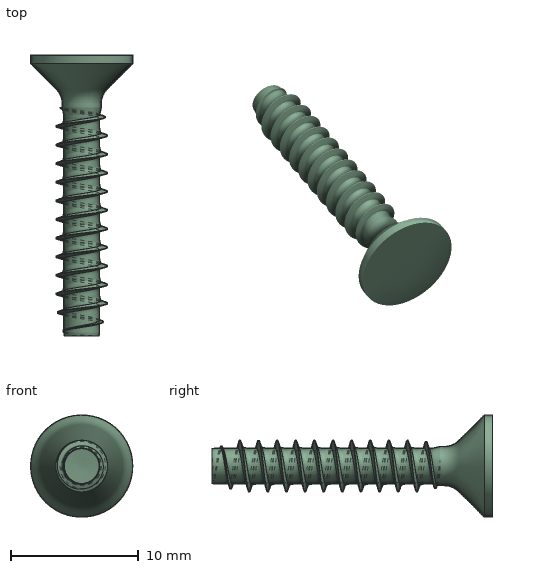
import cadquery as cq
import math


length = 22.0

head_radius = 4.0
rim_height = 0.65
neck_angle = 45.0
cone_height = 2.0

neck_radius = 1.55
neck_end_z = length - 4.11
neck_taper_height = 0.62

core_radius = 1.4
tip_radius = 1.36
tip_taper_height = 0.26
tip_dimple_depth = 0.09

crest_radius = 2.02
crest_half_width = 0.02
tip_side_width = 0.18
head_side_width = 0.57
foot_width = 0.2
foot_radius = 1.5
root_depth = 0.22
pitch = 1.459
full_turns = 9.75
full_thread_z = 2.2
full_thread_angle = 270.0
tip_fade_turns = 1.4
tip_fade_drop = 0.62
head_fade_turns = 1.35
head_fade_drop = 0.46


def make_body():
    """Revolve the head, neck, core and tapered tip, with a shallow conical dimple in the tip."""
    slope = math.radians(neck_angle)
    rim_z = length - rim_height
    cone_end_z = rim_z - cone_height
    cone_end_radius = head_radius - cone_height * math.tan(slope)
    fillet_radius = (cone_end_radius - neck_radius) / (1 - math.cos(slope))
    fillet_end_z = cone_end_z - fillet_radius * math.sin(slope)
    fillet_mid = (
        neck_radius + fillet_radius * (1 - math.cos(slope / 2)),
        fillet_end_z + fillet_radius * math.sin(slope / 2),
    )
    return (
        cq.Workplane("XZ")
        .moveTo(0, tip_dimple_depth)
        .lineTo(tip_radius, 0)
        .lineTo(core_radius, tip_taper_height)
        .lineTo(core_radius, neck_end_z - neck_taper_height)
        .lineTo(neck_radius, neck_end_z)
        .lineTo(neck_radius, fillet_end_z)
        .threePointArc(fillet_mid, (cone_end_radius, cone_end_z))
        .lineTo(head_radius, rim_z)
        .lineTo(head_radius, length)
        .lineTo(0, length)
        .close()
        .revolve(360, (0, 0, 0), (0, 1, 0))
    )


def helix_path(radius, z, turns, end_radius):
    """Helix starting on +X at the given height; it turns conical when its radius changes."""
    height = turns * pitch
    centre = cq.Vector(0, 0, z)
    if radius == end_radius:
        return cq.Wire.makeHelix(pitch, height, radius, centre)
    cone_angle = math.atan((end_radius - radius) / height)
    stretch = 1 / math.cos(cone_angle)
    return cq.Wire.makeHelix(
        pitch * stretch, height * stretch, radius, centre, angle=math.degrees(cone_angle)
    )


def thread_run(start_turn, turns, start_drop, end_drop):
    """One stretch of thread, bounded by the helices that the corners of its section trace.

    start_turn is counted from the start of the full thread; the drops are how far the
    section is sunk towards the axis at each end.
    """
    section = [
        (core_radius - root_depth, -tip_side_width),
        (core_radius, -tip_side_width),
        (crest_radius, -crest_half_width),
        (crest_radius, crest_half_width),
        (foot_radius, foot_width),
        (core_radius, head_side_width),
        (core_radius - root_depth, head_side_width),
    ]
    edges = [
        helix_path(radius - start_drop, z, turns, radius - end_drop).Edges()[0]
        for radius, z in section
    ]
    faces = [
        cq.Face.makeRuledSurface(edge, following)
        for edge, following in zip(edges, edges[1:] + edges[:1])
    ]
    for corners in ([e.startPoint() for e in edges], [e.endPoint() for e in edges]):
        faces.append(cq.Face.makeFromWires(cq.Wire.makePolygon(corners, close=True)))
    run = cq.Workplane(cq.Solid.makeSolid(cq.Shell.makeShell(faces)).fix())
    start_angle = full_thread_angle + 360 * start_turn
    start_z = full_thread_z + start_turn * pitch
    return run.rotate((0, 0, 0), (0, 0, 1), start_angle).translate((0, 0, start_z))


def make_thread_runs():
    """The full thread and its two fading ends, each trimmed to the threaded length."""
    tip_fade = thread_run(-tip_fade_turns, tip_fade_turns, tip_fade_drop, 0)
    full = thread_run(0, full_turns, 0, 0)
    head_fade = thread_run(full_turns, head_fade_turns, 0, head_fade_drop)
    threaded_length = (
        cq.Workplane("XY", origin=(0, 0, tip_dimple_depth))
        .circle(head_radius)
        .extrude(neck_end_z - tip_dimple_depth)
    )
    return [run.intersect(threaded_length) for run in (tip_fade, full, head_fade)]


screw = make_body()
for run in make_thread_runs():
    screw = screw.union(run)

result = screw.rotate((0, 0, 0), (1, 0, 0), -90)